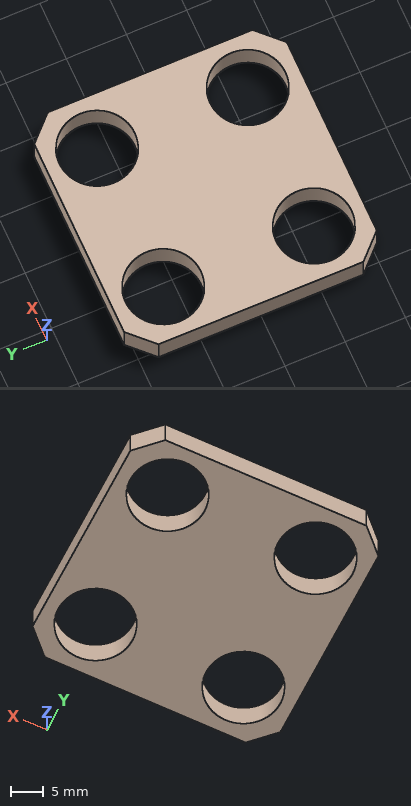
import cadquery as cq

plate_side = 42.0
plate_thickness = 5.0
corner_chamfer = 4.0
hole_diameter = 12.5
hole_spacing = 2 * hole_diameter

plate = (
    cq.Workplane("XY")
    .box(plate_side, plate_side, plate_thickness)
    .edges("|Z")
    .chamfer(corner_chamfer)
)

result = (
    plate.faces(">Z")
    .workplane()
    .rarray(hole_spacing, hole_spacing, 2, 2)
    .hole(hole_diameter)
)